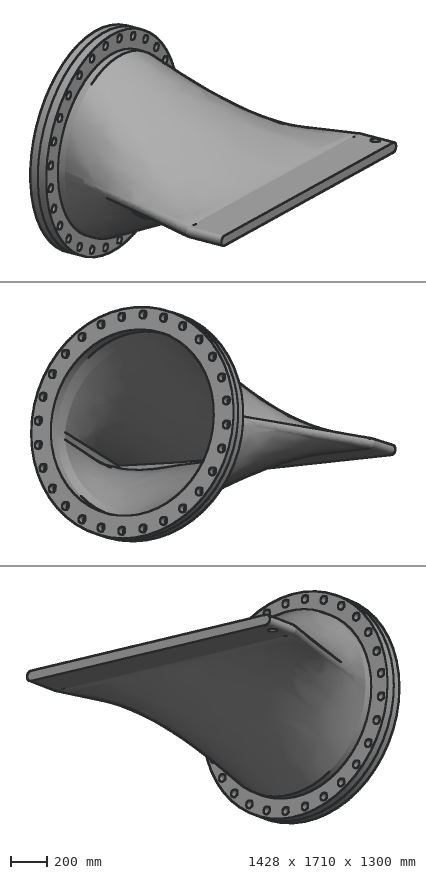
import cadquery as cq
import math

flange_thickness = 51.0
ring_thickness = 56.0
collar_end = 157.0
taper_end = 1195.0
overall_length = 1428.0
bore_depth = 75.0

flange_radius = 650.0
collar_radius = 535.0
bore_radius = 523.0
bolt_count = 28
bolt_circle_radius = 607.0
bolt_hole_diameter = 45.0

overall_width = 1710.0
lip_thickness = 60.0
lip_hole_diameter = 51.0
lip_hole_x = 1327.0
lip_hole_y = 797.0

outer_strip_half_height = 22.0
inner_strip_half_height = 20.0

throat_half_height = 485.0
slit_half_width = 787.0
slit_end_half_height = 25.0
slit_middle_half_height = 2.0
slit_side_bulge = 3.0

lip_half_width = overall_width / 2
lip_half_thickness = lip_thickness / 2


def section(x, half_width, crown, corner_y, corner_z):
    """Closed outline in the YZ plane at x: crown and base joined by two side arcs at four corners."""
    outline = cq.Workplane("YZ", origin=(x, 0, 0)).moveTo(corner_y, corner_z)
    if crown == corner_z:
        outline = outline.lineTo(-corner_y, corner_z)
    else:
        outline = outline.threePointArc((0, crown), (-corner_y, corner_z))
    outline = outline.threePointArc((-half_width, 0), (-corner_y, -corner_z))
    if crown == corner_z:
        outline = outline.lineTo(corner_y, -corner_z)
    else:
        outline = outline.threePointArc((0, -crown), (corner_y, -corner_z))
    return outline.threePointArc((half_width, 0), (corner_y, corner_z)).close().val()


def round_section(x, radius, strip_half_height):
    """Circular outline whose corners lie at the edges of the side strips."""
    corner_y = math.sqrt(radius**2 - strip_half_height**2)
    return section(x, radius, radius, corner_y, strip_half_height)


def lip_section(x):
    """Flat outline with fully rounded ends."""
    corner_y = lip_half_width - lip_half_thickness
    return section(x, lip_half_width, lip_half_thickness, corner_y, lip_half_thickness)


def ruled_solid(*sections):
    """Solid with straight sides from each section to the next."""
    return cq.Workplane(obj=cq.Solid.makeLoft(list(sections), True))


def cylinder_along_x(start, end, radius):
    return cq.Workplane("YZ", origin=(start, 0, 0)).circle(radius).extrude(end - start)


def bolt_holes():
    """Bolt holes through flange and ring, straddling the vertical and horizontal centre planes."""
    half_pitch = 180 / bolt_count
    return (
        cq.Workplane("YZ")
        .polarArray(bolt_circle_radius, half_pitch, 360, bolt_count)
        .circle(bolt_hole_diameter / 2)
        .extrude(flange_thickness + ring_thickness)
    )


def make_cavity():
    """Straight bore, short transition to the throat, then a taper that closes to a thin slit."""
    inlet = round_section(0, bore_radius, inner_strip_half_height)
    bore_end = round_section(bore_depth, bore_radius, inner_strip_half_height)
    throat_corner_y = math.sqrt(bore_radius**2 - inner_strip_half_height**2)
    throat = section(
        collar_end, bore_radius, throat_half_height, throat_corner_y, inner_strip_half_height
    )
    slit = section(
        taper_end,
        slit_half_width + slit_side_bulge,
        slit_middle_half_height,
        slit_half_width,
        slit_end_half_height,
    )
    return ruled_solid(inlet, bore_end, throat, slit)


def make_duckbill():
    """Rubber valve body: flange, collar, tapered bill and flat lip around one cavity."""
    flange = cylinder_along_x(0, flange_thickness, flange_radius)
    bill = ruled_solid(
        round_section(0, collar_radius, outer_strip_half_height),
        round_section(collar_end, collar_radius, outer_strip_half_height),
        lip_section(taper_end),
        lip_section(overall_length),
    )
    lip_hole = (
        cq.Workplane("XY", origin=(lip_hole_x, lip_hole_y, -lip_half_thickness))
        .circle(lip_hole_diameter / 2)
        .extrude(lip_thickness)
    )
    body = flange.union(bill)
    return body.cut(make_cavity()).cut(bolt_holes()).cut(lip_hole)


def make_retaining_ring():
    """Ring that fits around the collar and clamps the flange from behind."""
    ring_end = flange_thickness + ring_thickness
    ring = cylinder_along_x(flange_thickness, ring_end, flange_radius)
    opening = cylinder_along_x(flange_thickness, ring_end, collar_radius)
    return ring.cut(opening).cut(bolt_holes())


duckbill = make_duckbill()
retaining_ring = make_retaining_ring()

result = cq.Compound.makeCompound([duckbill.solids().val(), retaining_ring.solids().val()])